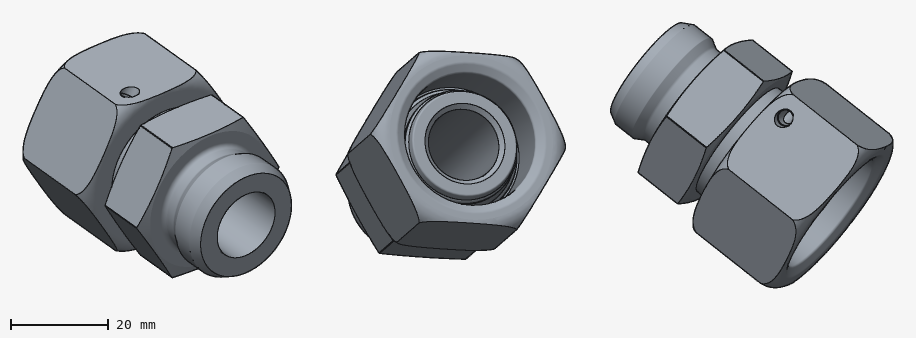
import cadquery as cq
import math


total_length = 50.0
through_bore_radius = 15.0 / 2

nut_length = 22.5
nut_across_flats = 36.0
nut_face_radius = 34.7 / 2
nut_corner_rounding = 3.5
nut_thread_radius = 27.8 / 2
nut_thread_depth = 13.5
nut_mouth_radius = 32.05 / 2
mouth_outer_rounding = 1.0
mouth_inner_rounding = 0.6
mouth_slope = math.radians(30)

nose_start = 5.05
nose_face_radius = 21.5 / 2
nose_rounding = 0.4
nose_bore_chamfer = 1.0
seal_cone_angle = math.radians(12)
seal_cone_end_radius = 25.25 / 2
shank_radius = 26.7 / 2
shank_edge_rounding = 0.4
collar_radius = 26.95 / 2

seal_section_radius = 1.0
seal_outer_radius = 23.8 / 2
seal_center = 7.9
seal_groove_width = 2.1

hex_start = 25.85
hex_end = 38.0
hex_across_flats = 32.0
hex_corner_radius = 36.85 / 2
hex_face_radius = 31.0 / 2
hex_chamfer_angle = math.radians(15)

thread_radius = 26.0 / 2
undercut_radius = 23.7 / 2
undercut_root_rounding = 1.0
undercut_exit_rounding = 1.0
thread_start = 43.2
thread_edge_rounding = 0.3
thread_chamfer_length = 2.2
thread_chamfer_depth = 1.2
undercut_slope = math.radians(30)

wire_center = 18.0
wire_pitch_radius = 13.55
wire_section_radius = 3.3 / 2
wire_hole_radius = 3.2 / 2
wire_hole_mouth_radius = 3.6 / 2
wire_hole_mouth_depth = 1.15
wire_hole_tilt = math.radians(30)


def revolve_about_x(outline):
    """Revolve a closed outline drawn with X along the axis and Y as the radius."""
    return outline.close().revolve(360, (0, 0, 0), (1, 0, 0))


def hexagonal_bar(start, end, across_flats):
    """Hexagonal bar along X with two flats facing +Z and -Z."""
    across_corners = across_flats / math.cos(math.radians(30))
    return cq.Workplane("YZ", origin=(start, 0, 0)).polygon(6, across_corners).extrude(end - start)


def ring(center, pitch_radius, section_radius):
    """Round-section ring about the X axis."""
    section = cq.Workplane("XY").center(center, pitch_radius).circle(section_radius)
    return section.revolve(360, (-center, -pitch_radius, 0), (0.5 - center, -pitch_radius, 0))


def wire_ring():
    return ring(wire_center, wire_pitch_radius, wire_section_radius)


def seal_ring():
    return ring(seal_center, seal_outer_radius - seal_section_radius, seal_section_radius)


def rounded_nut_blank():
    """Hexagonal bar whose corners are rounded off towards both end faces."""
    rounded_radius = nut_face_radius + nut_corner_rounding
    envelope = revolve_about_x(
        cq.Workplane("XY")
        .lineTo(0, nut_face_radius)
        .radiusArc((nut_corner_rounding, rounded_radius), nut_corner_rounding)
        .lineTo(nut_length - nut_corner_rounding, rounded_radius)
        .radiusArc((nut_length, nut_face_radius), nut_corner_rounding)
        .lineTo(nut_length, 0)
    )
    return hexagonal_bar(0, nut_length, nut_across_flats).intersect(envelope)


def nut_cavity():
    """Stepped bore with a conical mouth that blends into the face and into the bore."""
    bore_turn = math.pi / 2 - mouth_slope
    cone_outer_x = mouth_outer_rounding * (1 - math.cos(mouth_slope))
    cone_outer_radius = nut_mouth_radius - mouth_outer_rounding * math.sin(mouth_slope)
    cone_inner_radius = nut_thread_radius + mouth_inner_rounding * (1 - math.cos(bore_turn))
    cone_inner_x = cone_outer_x + (cone_outer_radius - cone_inner_radius) * math.tan(mouth_slope)
    bore_start = cone_inner_x + mouth_inner_rounding * math.sin(bore_turn)
    return revolve_about_x(
        cq.Workplane("XY")
        .lineTo(0, nut_mouth_radius)
        .radiusArc((cone_outer_x, cone_outer_radius), -mouth_outer_rounding)
        .lineTo(cone_inner_x, cone_inner_radius)
        .radiusArc((bore_start, nut_thread_radius), -mouth_inner_rounding)
        .lineTo(nut_thread_depth, nut_thread_radius)
        .lineTo(nut_thread_depth, collar_radius)
        .lineTo(nut_length, collar_radius)
        .lineTo(nut_length, 0)
    )


def wire_entry_hole():
    """Stepped hole from the top flat, running tangentially into the wire groove."""
    flat_height = nut_across_flats / 2
    inward = cq.Vector(0, -math.sin(wire_hole_tilt), -math.cos(wire_hole_tilt))
    entry_y = -(wire_pitch_radius - flat_height * math.sin(wire_hole_tilt)) / math.cos(wire_hole_tilt)
    entry = cq.Vector(wire_center, entry_y, flat_height)
    hole_length = math.sqrt(entry_y**2 + flat_height**2 - wire_pitch_radius**2)
    outside = entry - inward * nut_corner_rounding
    hole = cq.Solid.makeCylinder(wire_hole_radius, hole_length, entry, inward)
    mouth = cq.Solid.makeCylinder(
        wire_hole_mouth_radius, nut_corner_rounding + wire_hole_mouth_depth, outside, inward
    )
    return cq.Workplane("XY").add(hole).union(cq.Workplane("XY").add(mouth))


def swivel_nut():
    return rounded_nut_blank().cut(nut_cavity()).cut(wire_entry_hole()).cut(wire_ring())


def cone_end():
    """Sealing cone, shoulder, shank and the collar that the nut turns on."""
    cone_turn = math.pi / 2 - seal_cone_angle
    cone_start = nose_start + nose_rounding * (1 - math.cos(cone_turn))
    cone_start_radius = nose_face_radius + nose_rounding * math.sin(cone_turn)
    cone_end_x = cone_start + (seal_cone_end_radius - cone_start_radius) / math.tan(seal_cone_angle)
    shoulder_turn = math.pi / 4
    shoulder_end_radius = shank_radius - shank_edge_rounding * (1 - math.cos(shoulder_turn))
    shoulder_end_x = cone_end_x + shoulder_end_radius - seal_cone_end_radius
    shank_start = shoulder_end_x + shank_edge_rounding * math.sin(shoulder_turn)
    return revolve_about_x(
        cq.Workplane("XY")
        .moveTo(nose_start, 0)
        .lineTo(nose_start, nose_face_radius)
        .radiusArc((cone_start, cone_start_radius), nose_rounding)
        .lineTo(cone_end_x, seal_cone_end_radius)
        .lineTo(shoulder_end_x, shoulder_end_radius)
        .radiusArc((shank_start, shank_radius), shank_edge_rounding)
        .lineTo(wire_center, shank_radius)
        .lineTo(wire_center, collar_radius)
        .lineTo(hex_start, collar_radius)
        .lineTo(hex_start, 0)
    )


def body_hexagon():
    """Hexagon with its corners trimmed round and both faces chamfered."""
    chamfer_length = (hex_corner_radius - hex_face_radius) * math.tan(hex_chamfer_angle)
    envelope = revolve_about_x(
        cq.Workplane("XY")
        .moveTo(hex_start, 0)
        .lineTo(hex_start, hex_face_radius)
        .lineTo(hex_start + chamfer_length, hex_corner_radius)
        .lineTo(hex_end - chamfer_length, hex_corner_radius)
        .lineTo(hex_end, hex_face_radius)
        .lineTo(hex_end, 0)
    )
    return hexagonal_bar(hex_start, hex_end, hex_across_flats).intersect(envelope)


def threaded_end():
    """Undercut with a rounded root, conical run-out, thread land with eased edges and lead-in chamfer."""
    exit_rise = undercut_exit_rounding * (1 - math.cos(undercut_slope))
    runout_radius = undercut_radius + exit_rise
    runout_start = thread_start - (thread_radius - runout_radius) / math.tan(undercut_slope)
    undercut_end = runout_start - undercut_exit_rounding * math.sin(undercut_slope)
    profile = revolve_about_x(
        cq.Workplane("XY")
        .moveTo(hex_end, 0)
        .lineTo(hex_end, undercut_radius + undercut_root_rounding)
        .radiusArc((hex_end + undercut_root_rounding, undercut_radius), -undercut_root_rounding)
        .lineTo(undercut_end, undercut_radius)
        .radiusArc((runout_start, runout_radius), -undercut_exit_rounding)
        .lineTo(thread_start, thread_radius)
        .lineTo(total_length - thread_chamfer_length, thread_radius)
        .lineTo(total_length, thread_radius - thread_chamfer_depth)
        .lineTo(total_length, 0)
    )
    land_edges = cq.selectors.RadiusNthSelector(-1)
    return profile.edges(land_edges).fillet(thread_edge_rounding)


def through_bore():
    """Bore through the whole body, chamfered at the nose."""
    return revolve_about_x(
        cq.Workplane("XY")
        .moveTo(nose_start, 0)
        .lineTo(nose_start, through_bore_radius + nose_bore_chamfer)
        .lineTo(nose_start + nose_bore_chamfer, through_bore_radius)
        .lineTo(total_length, through_bore_radius)
        .lineTo(total_length, 0)
    )


def seal_groove():
    """Square groove in the sealing cone; its floor touches the inside of the seal ring."""
    floor_radius = seal_outer_radius - 2 * seal_section_radius
    return (
        cq.Workplane("YZ", origin=(seal_center - seal_groove_width / 2, 0, 0))
        .circle(collar_radius)
        .circle(floor_radius)
        .extrude(seal_groove_width)
    )


def fitting_body():
    blank = cone_end().union(body_hexagon()).union(threaded_end())
    return blank.cut(through_bore()).cut(seal_groove()).cut(wire_ring())


nut = swivel_nut()
body = fitting_body()
wire = wire_ring()
seal = seal_ring()

result = cq.Compound.makeCompound([nut.val(), body.val(), wire.val(), seal.val()])